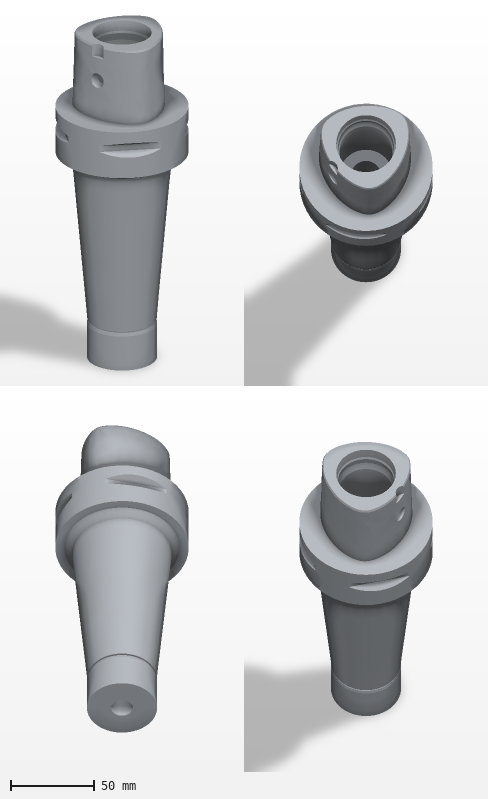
import cadquery as cq
import math

total_height = 213.0
nut_top_z = 24.3
body_bottom_z = 25.3
cone_top_z = 130.1
flange_bottom_z = 135.0
flange_top_z = 165.0

neck_radius = 16.6
body_bottom_radius = 20.9
cone_top_radius = 30.0
flange_chamfer_radius = 34.5
flange_radius = 40.0

shank_base_radius = 27.7
lobe_height = 2.1
shank_taper = 1 / 40
shank_chamfer_height = 1.3
shank_chamfer_width = 0.6
curve_points = 24

notch_radius = 5.0
notch_inner_y = -22.0
notch_depth = 7.9
cross_hole_radius = 4.7
cross_hole_z = 190.2
cross_hole_floor_y = -18.3

mouth_radius = 17.9
mouth_end_radius = 17.5
mouth_depth = 6.5
lip_radius = 16.8
lip_depth = 7.9
undercut_radius = 17.7
undercut_depth = 12.5
thread_bore_radius = 16.0
thread_bore_start = 16.6
thread_bore_depth = 64.0
coolant_bore_radius = 9.0

groove_count = 4
groove_z = 153.1
groove_floor_distance = 35.4
groove_floor_height = 3.8
groove_flank_angle = math.radians(31)

nut_radius = 21.0
nut_chamfer_height = 2.0
nut_chamfer_width = 0.5
nut_hole_radius = 6.5
nut_hole_chamfer = 0.9


def revolve_profile(points):
    """Revolve (radius, height) points about the Z axis."""
    return cq.Workplane("XZ").polyline(points).close().revolve(360, (0, 0, 0), (0, 1, 0))


def lobed_wire(mean_radius, z):
    """Closed curve of support function mean_radius + lobe_height * cos(3 * angle), one lobe at +Y."""

    def point(t):
        angle = 2 * math.pi * t
        support = mean_radius + lobe_height * math.cos(3 * angle)
        slope = -3 * lobe_height * math.sin(3 * angle)
        x = -support * math.sin(angle) - slope * math.cos(angle)
        y = support * math.cos(angle) - slope * math.sin(angle)
        return cq.Vector(x, y, z)

    points = [point(i / curve_points) for i in range(curve_points)]
    return cq.Wire.assembleEdges([cq.Edge.makeSpline(points, periodic=True)])


def make_shank():
    chamfer_z = total_height - shank_chamfer_height
    chamfer_radius = shank_base_radius - shank_taper * (chamfer_z - flange_top_z)
    base = lobed_wire(shank_base_radius, flange_top_z)
    shoulder = lobed_wire(chamfer_radius, chamfer_z)
    end = lobed_wire(chamfer_radius - shank_chamfer_width, total_height)
    taper = cq.Solid.makeLoft([base, shoulder], True)
    chamfer = cq.Solid.makeLoft([shoulder, end], True)
    return cq.Workplane(taper).union(cq.Workplane(chamfer))


def make_outer_body():
    return revolve_profile([
        (0, nut_top_z),
        (neck_radius, nut_top_z),
        (neck_radius, body_bottom_z),
        (body_bottom_radius, body_bottom_z),
        (cone_top_radius, cone_top_z),
        (flange_chamfer_radius, flange_bottom_z),
        (flange_radius, flange_bottom_z),
        (flange_radius, flange_top_z),
        (0, flange_top_z),
    ])


def make_bore():
    mouth_z = total_height - mouth_depth
    lip_z = total_height - lip_depth
    undercut_z = total_height - undercut_depth
    thread_z = total_height - thread_bore_start
    floor_z = total_height - thread_bore_depth
    return revolve_profile([
        (0, nut_top_z),
        (coolant_bore_radius, nut_top_z),
        (coolant_bore_radius, floor_z),
        (thread_bore_radius, floor_z),
        (thread_bore_radius, thread_z),
        (undercut_radius, undercut_z),
        (undercut_radius, lip_z),
        (lip_radius, lip_z),
        (mouth_end_radius, mouth_z),
        (mouth_radius, total_height),
        (0, total_height),
    ])


def make_drive_notch():
    return (
        cq.Workplane("XY", origin=(0, notch_inner_y - notch_radius, total_height - notch_depth))
        .circle(notch_radius)
        .extrude(notch_depth)
    )


def make_cross_hole():
    return (
        cq.Workplane("XZ", origin=(0, cross_hole_floor_y, cross_hole_z))
        .circle(cross_hole_radius)
        .extrude(flange_radius + cross_hole_floor_y)
    )


def make_gripper_groove(angle):
    depth = flange_radius - groove_floor_distance
    floor_half = groove_floor_height / 2
    mouth_half = floor_half + depth * math.tan(groove_flank_angle)
    return (
        cq.Workplane("XZ", origin=(0, 0, groove_z))
        .polyline([
            (groove_floor_distance, -floor_half),
            (flange_radius, -mouth_half),
            (flange_radius, mouth_half),
            (groove_floor_distance, floor_half),
        ])
        .close()
        .extrude(flange_radius, both=True)
        .rotate((0, 0, 0), (0, 0, 1), angle)
    )


def make_holder():
    holder = make_outer_body().union(make_shank())
    holder = holder.cut(make_bore()).cut(make_drive_notch()).cut(make_cross_hole())
    groove_pitch = 360 / groove_count
    for i in range(groove_count):
        holder = holder.cut(make_gripper_groove((i + 0.5) * groove_pitch))
    return holder


def make_nut():
    return revolve_profile([
        (nut_hole_radius, 0),
        (nut_radius, 0),
        (nut_radius, nut_top_z - nut_chamfer_height),
        (nut_radius - nut_chamfer_width, nut_top_z),
        (nut_hole_radius + nut_hole_chamfer, nut_top_z),
        (nut_hole_radius, nut_top_z - nut_hole_chamfer),
    ])


holder = make_holder()
nut = make_nut()

result = cq.Compound.makeCompound([holder.solids().val(), nut.val()])